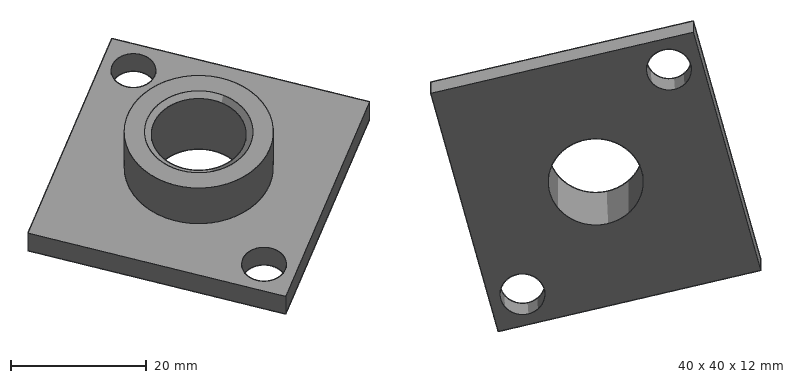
import cadquery as cq
import math

plate_side = 40.0
plate_thickness = 4.0

boss_diameter = 22.0
boss_height = 8.0

bore_diameter = 14.0
chamfer_width = 1.0
chamfer_angle = 30.0
chamfer_depth = chamfer_width * math.tan(math.radians(chamfer_angle))

mount_hole_diameter = 6.6
mount_hole_offset = 15.0

total_height = plate_thickness + boss_height


def make_plate():
    """Square plate with its underside on Z = 0."""
    return cq.Workplane("XY").box(
        plate_side, plate_side, plate_thickness, centered=(True, True, False)
    )


def make_boss():
    """Cylinder standing on the top face of the plate."""
    return cq.Workplane("XY").workplane(offset=plate_thickness).circle(boss_diameter / 2).extrude(boss_height)


def make_bore():
    """Bore through plate and boss, widened by a conical chamfer at the top."""
    bore_radius = bore_diameter / 2
    half_profile = [
        (0, 0),
        (bore_radius, 0),
        (bore_radius, total_height - chamfer_depth),
        (bore_radius + chamfer_width, total_height),
        (0, total_height),
    ]
    return cq.Workplane("XZ").polyline(half_profile).close().revolve(360, (0, 0, 0), (0, 1, 0))


def make_mount_holes():
    """Cylinders for the two mounting holes through the plate."""
    centres = [
        (-mount_hole_offset, mount_hole_offset),
        (mount_hole_offset, -mount_hole_offset),
    ]
    return cq.Workplane("XY").pushPoints(centres).circle(mount_hole_diameter / 2).extrude(plate_thickness)


result = make_plate().union(make_boss()).cut(make_bore()).cut(make_mount_holes())